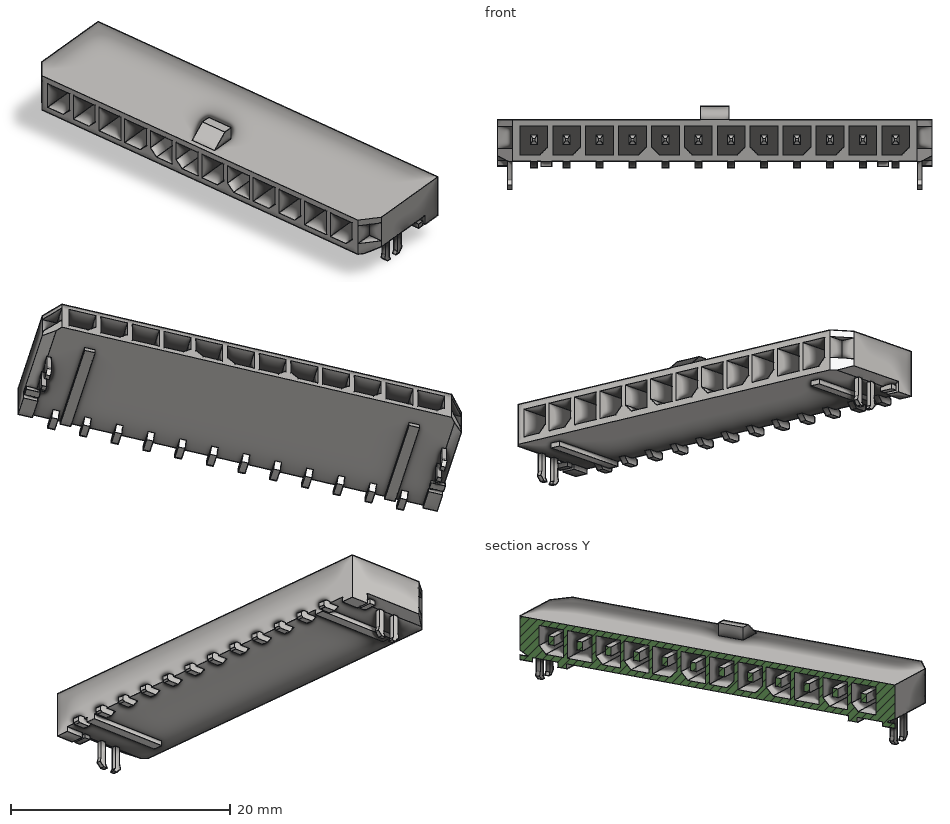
import cadquery as cq


embed = 0.2

length = 39.65
depth = 9.95
body_bottom = 0.48
body_top = 4.3
corner_x = 1.4
corner_y = 1.7
corner_notch_bottom = 1.65
corner_notch_top = 3.65
edge_bevel_x = 1.0
edge_bevel_height = 0.5

foot_front = 8.1
rail_front = 1.6
rail_width = 1.0
rail_offset = 15.35

key_pattern = "RR-RLLRLRR-R"
contact_span = 33.0
pitch = contact_span / (len(key_pattern) - 1)
cavity_width = 2.55
cavity_bottom = 1.07
cavity_top = 3.7
cavity_depth = 7.93
key_bevel = 0.7

pin_width = 0.65
pin_height = 0.87
pin_center_z = 2.45
pin_tip_y = 2.78
pin_taper = 0.2
pin_tip_size = 0.25

tail_width = 0.65
tail_end = 10.7
tail_top = 0.65
tail_bottom = -0.1
tail_inner_bottom = 9.4
tail_inner_top = 8.9
tail_crown_bevel = 0.28
tail_end_bevel = 0.15

latch_width = 2.6
latch_top = 5.5
latch_front = 0.5
latch_crest = 2.02
latch_back = 2.95

clip_thickness = 0.45
clip_inner_x = 18.48
clip_bottom = -2.1
clip_center_y = 4.6
prong_inner = 0.6
prong_outer = 1.15
barb_outer = 1.25
barb_inner = 0.4
barb_nose = 0.85
barb_top = clip_bottom + 0.87
barb_peak = clip_bottom + 0.45
hook_top = clip_bottom + 0.3
tab_front = 7.15
tab_back = 7.77
tab_bottom = 0.08
tab_top = 0.55


def box(x0, x1, y0, y1, z0, z1):
    """Axis-aligned block between two opposite corners."""
    return cq.Workplane("XY").box(x1 - x0, y1 - y0, z1 - z0, centered=False).translate((x0, y0, z0))


def extrude_side_profile(points, center_x, width):
    """Prism with a (y, z) outline, centred on center_x."""
    return cq.Workplane("YZ").polyline(points).close().extrude(width / 2, both=True).translate((center_x, 0, 0))


def both_ends(left):
    """A left-end feature together with its mirror image at the right end."""
    return left.union(left.mirror("YZ"))


def make_housing():
    half = length / 2
    outline = [
        (-half, depth),
        (-half, corner_y),
        (-half + corner_x, 0),
        (half - corner_x, 0),
        (half, corner_y),
        (half, depth),
    ]
    housing = (
        cq.Workplane("XY")
        .workplane(offset=body_bottom)
        .polyline(outline)
        .close()
        .extrude(body_top - body_bottom)
    )
    bevel = (
        cq.Workplane("XZ")
        .polyline([
            (-half, body_bottom),
            (-half + edge_bevel_x, body_bottom),
            (-half, body_bottom + edge_bevel_height),
        ])
        .close()
        .extrude(-foot_front)
    )
    notch = box(-half, -half + corner_x, 0, corner_y, corner_notch_bottom, corner_notch_top)
    foot = box(-half, -clip_inner_x, foot_front, depth, 0, body_bottom)
    rail = box(
        -rail_offset - rail_width / 2, -rail_offset + rail_width / 2,
        rail_front, depth, 0, body_bottom,
    )
    return housing.cut(both_ends(bevel.union(notch))).union(both_ends(foot)).union(both_ends(rail))


def make_latch():
    profile = [
        (latch_front, body_top),
        (latch_crest, latch_top),
        (latch_back, latch_top),
        (latch_back, body_top),
    ]
    return extrude_side_profile(profile, 0, latch_width)


def make_cavity(center_x, key):
    half = cavity_width / 2
    outline = [(-half, cavity_top), (-half, cavity_bottom)]
    if key == "-":
        outline += [(half, cavity_bottom)]
    else:
        outline += [(half - key_bevel, cavity_bottom), (half, cavity_bottom + key_bevel)]
    outline += [(half, cavity_top)]
    if key == "L":
        outline = [(-x, z) for x, z in outline]
    return cq.Workplane("XZ").polyline(outline).close().extrude(-cavity_depth).translate((center_x, 0, 0))


def make_pin(center_x):
    shank = box(
        center_x - pin_width / 2, center_x + pin_width / 2,
        pin_tip_y + pin_taper, cavity_depth + embed,
        pin_center_z - pin_height / 2, pin_center_z + pin_height / 2,
    )
    tip = (
        cq.Workplane("XZ", origin=(center_x, pin_tip_y + pin_taper, pin_center_z))
        .rect(pin_width, pin_height)
        .workplane(offset=pin_taper)
        .rect(pin_tip_size, pin_tip_size)
        .loft(ruled=True)
    )
    return shank.union(tip)


def make_tail(center_x):
    profile = [
        (tail_inner_top, tail_top),
        (tail_end - tail_crown_bevel, tail_top),
        (tail_end, tail_top - tail_end_bevel),
        (tail_end, tail_bottom + tail_end_bevel),
        (tail_end - tail_end_bevel, tail_bottom),
        (tail_inner_bottom, tail_bottom),
        (tail_inner_top, body_bottom),
    ]
    return extrude_side_profile(profile, center_x, tail_width)


def make_prong(side, center_x):
    """One barbed prong; side is -1 for the front prong and 1 for the rear one."""
    profile = [
        (prong_inner, body_bottom + embed),
        (prong_outer, body_bottom + embed),
        (prong_outer, barb_top),
        (barb_outer, barb_peak),
        (barb_nose, clip_bottom),
        (barb_inner, clip_bottom),
        (prong_inner, hook_top),
    ]
    placed = [(clip_center_y + side * y, z) for y, z in profile]
    return extrude_side_profile(placed, center_x, clip_thickness)


def make_clip():
    center_x = -clip_inner_x - clip_thickness / 2
    prongs = make_prong(-1, center_x).union(make_prong(1, center_x))
    tab = box(-length / 2, -clip_inner_x, tab_front, tab_back, tab_bottom, tab_top)
    return prongs.union(tab)


result = make_housing().union(make_latch()).union(both_ends(make_clip()))
for index, key in enumerate(key_pattern):
    contact_x = (index - (len(key_pattern) - 1) / 2) * pitch
    result = result.cut(make_cavity(contact_x, key))
    result = result.union(make_pin(contact_x)).union(make_tail(contact_x))